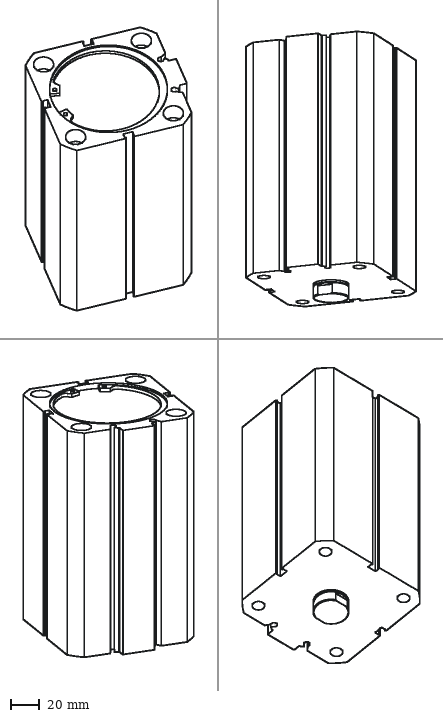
import cadquery as cq
import math

overall_depth = 102.0
overall_length = 177

housing_width = 96.5
housing_length = 167.0
corner_circle_diameter = 124.0
half_width = housing_width / 2

rail_width = 24.5
rail_top = overall_depth - half_width
rail_chamfer = 0.4
rail_foot = 48.7
neck_tip = (15.4, 46.5)
undercut_center = (15.0, 43.4)
undercut_radius = 2.1
undercut_inner_angle = 145
undercut_mouth_x = 19.5
undercut_wall_top = 44.5

slot_opening = 5.3
slot_width = 6.9
slot_depth = 4.6
slot_lip = 1.2
slot_mouth_chamfer = 0.5

bolt_spacing = 71.9
bolt_diameter = 8.7
counterbore_diameter = 14.0
counterbore_depth = 12.4

bore_diameter = 82.3
ring_recess = 1.5
ring_thickness = 2.5
ring_opening_radius = 37.7
ring_opening_shift = -2.3
lug_inner_radius = 34.2
lug_start_angle = 13.2
lug_end_angle = 25.5
lug_root_angle = 29.0
lug_root_radius = 40.4
lug_fillet = 3.5
lug_hole_diameter = 2.7
lug_hole_position = (12.0, -35.5)
cover_thickness = 10.6

rod_diameter = 25.0
rod_protrusion = overall_length - housing_length
rod_joint = -1.5
flats_width = 22.5
flats_top = -3.2
rod_end_chamfer = 0.5

ring_top = housing_length - ring_recess
cover_top = ring_top - ring_thickness
cover_bottom = cover_top - cover_thickness


def polar(radius, angle):
    """Point at an angle in degrees, measured from -Y towards +X."""
    turn = math.radians(angle)
    return (radius * math.sin(turn), -radius * math.cos(turn))


def undercut(side):
    """Undercut groove beside the rail; side is +1 for +X and -1 for -X."""
    center_x, center_y = undercut_center
    turn = math.radians(undercut_inner_angle)
    neck_end = (
        center_x + undercut_radius * math.cos(turn),
        center_y + undercut_radius * math.sin(turn),
    )
    points = [
        (rail_width / 2 - rail_chamfer, rail_top),
        (rail_width / 2, rail_top - rail_chamfer),
        (rail_width / 2, rail_foot),
        neck_tip,
        neck_end,
        (center_x, center_y - undercut_radius),
        (center_x + undercut_radius, center_y),
        (center_x + undercut_radius, undercut_wall_top),
        (undercut_mouth_x, half_width),
        (undercut_mouth_x, rail_top),
    ]
    start, edge, foot, tip, neck, bottom, wall, wall_top, lip, outer = [(side * x, y) for x, y in points]
    return (
        cq.Workplane("XY")
        .moveTo(*start)
        .lineTo(*edge)
        .lineTo(*foot)
        .lineTo(*tip)
        .lineTo(*neck)
        .threePointArc(bottom, wall)
        .lineTo(*wall_top)
        .lineTo(*lip)
        .lineTo(*outer)
        .close()
        .extrude(housing_length)
    )


def sensor_slot(angle):
    """T-slot along the -Y face, turned about Z by an angle in degrees."""
    mouth = cq.Workplane("XY").box(slot_opening, slot_depth, housing_length, centered=(True, False, False))
    inside = (
        cq.Workplane("XY")
        .box(slot_width, slot_depth - slot_lip, housing_length, centered=(True, False, False))
        .translate((0, slot_lip, 0))
    )
    half_mouth = slot_opening / 2 + slot_mouth_chamfer
    flare = (
        cq.Workplane("XY")
        .polyline([(-half_mouth, 0), (half_mouth, 0), (0, half_mouth)])
        .close()
        .extrude(housing_length)
    )
    slot = mouth.union(inside).union(flare).translate((0, -half_width, 0))
    return slot.rotate((0, 0, 0), (0, 0, 1), angle)


def make_housing():
    """Square extrusion with its rail, slots, bolt holes, cover seat and rod bore."""
    body = cq.Workplane("XY").rect(housing_width, housing_width).extrude(housing_length)
    body = body.intersect(cq.Workplane("XY").circle(corner_circle_diameter / 2).extrude(housing_length))
    rail = cq.Workplane("XY").box(rail_width, rail_top, housing_length, centered=(True, False, False))
    body = body.union(rail)
    for side in (-1, 1):
        body = body.cut(undercut(side))
    for angle in (-90, 0, 90):
        body = body.cut(sensor_slot(angle))
    body = (
        body.faces(">Z")
        .workplane(origin=(0, 0, housing_length))
        .rect(bolt_spacing, bolt_spacing, forConstruction=True)
        .vertices()
        .cboreHole(bolt_diameter, counterbore_diameter, counterbore_depth)
    )
    bore = cq.Workplane("XY").workplane(offset=cover_bottom).circle(bore_diameter / 2)
    body = body.cut(bore.extrude(housing_length - cover_bottom))
    return body.cut(cq.Workplane("XY").circle(rod_diameter / 2).extrude(cover_bottom))


def make_retaining_ring():
    """Open ring with an eccentric opening and a drilled lug on each side of the gap."""
    plane = cq.Workplane("XY").workplane(offset=cover_top)
    disc = plane.circle(bore_diameter / 2).extrude(ring_thickness)
    opening = plane.center(0, ring_opening_shift).circle(ring_opening_radius).extrude(ring_thickness)
    ring = disc.cut(opening)
    gap_edge = polar(bore_diameter, lug_start_angle)
    gap = plane.polyline([(0, 0), gap_edge, (-gap_edge[0], gap_edge[1])]).close().extrude(ring_thickness)
    middle_angle = (lug_start_angle + lug_end_angle) / 2
    for side in (-1, 1):
        lug = (
            plane.moveTo(*polar(lug_inner_radius, side * lug_start_angle))
            .threePointArc(
                polar(lug_inner_radius, side * middle_angle),
                polar(lug_inner_radius, side * lug_end_angle),
            )
            .lineTo(*polar(lug_root_radius, side * lug_root_angle))
            .lineTo(*polar(lug_root_radius, side * lug_start_angle))
            .close()
            .extrude(ring_thickness)
        )
        ring = ring.union(lug)
    ring = ring.cut(gap)
    corner_x, corner_y = polar(lug_root_radius, lug_root_angle)
    for side in (-1, 1):
        corner = cq.selectors.NearestToPointSelector((side * corner_x, corner_y, cover_top + ring_thickness / 2))
        ring = ring.edges("|Z").edges(corner).fillet(lug_fillet)
    hole_x, hole_y = lug_hole_position
    holes = plane.pushPoints([(-hole_x, hole_y), (hole_x, hole_y)]).circle(lug_hole_diameter / 2)
    return ring.cut(holes.extrude(ring_thickness))


def make_end_cover():
    """Plain disc closing the bore under the retaining ring."""
    return cq.Workplane("XY").workplane(offset=cover_bottom).circle(bore_diameter / 2).extrude(cover_thickness)


def make_rod():
    """Plain round rod from the end cover to just below the housing."""
    return (
        cq.Workplane("XY")
        .workplane(offset=rod_joint)
        .circle(rod_diameter / 2)
        .extrude(cover_bottom - rod_joint)
    )


def make_rod_end():
    """Rod tip with two wrench flats that run out at 45 degrees near the joint."""
    rod_end = (
        cq.Workplane("XY")
        .workplane(offset=-rod_protrusion)
        .circle(rod_diameter / 2)
        .extrude(rod_joint + rod_protrusion)
        .faces("<Z or >Z")
        .chamfer(rod_end_chamfer)
    )
    flat_y = flats_width / 2
    run_out = rod_diameter / 2 - flat_y
    for side in (-1, 1):
        flat_cut = (
            cq.Workplane("YZ")
            .polyline([
                (side * flat_y, -rod_protrusion),
                (side * flat_y, flats_top),
                (side * (flat_y + run_out), flats_top + run_out),
                (side * (flat_y + run_out), -rod_protrusion),
            ])
            .close()
            .extrude(rod_diameter / 2, both=True)
        )
        rod_end = rod_end.cut(flat_cut)
    return rod_end


housing = make_housing()
retaining_ring = make_retaining_ring()
end_cover = make_end_cover()
rod = make_rod()
rod_end = make_rod_end()

result = cq.Compound.makeCompound([
    housing.val(),
    retaining_ring.val(),
    end_cover.val(),
    rod.val(),
    rod_end.val(),
])